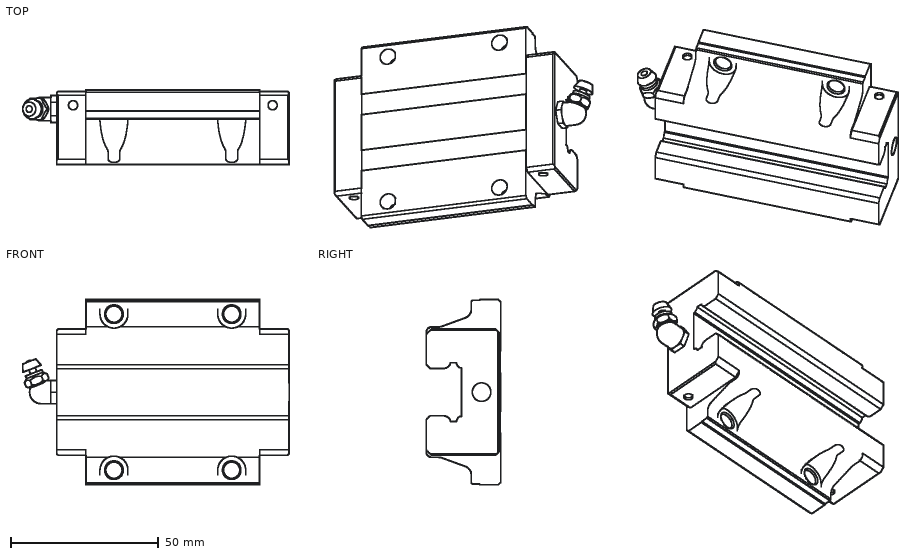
import cadquery as cq
import math


block_length = 59.0
cap_length = 10.0
height = 25.4
flange_width = 63.0
end_x = block_length / 2 + cap_length

flange_thickness = 10.1
flange_band = 7.05
relief_start = 7.35
flange_edge_relief = 0.27
flange_top_chamfer = 0.9
flange_lower_chamfer = 0.45
body_half_width = 22.2
slope_end_depth = 20.5
slope_angle = 20.0
slope_fillet = 3.0
body_corner_fillet = 2.0
relief_inner_z = 6.5
relief_outer_z = 14.0
relief_depth = 0.25

channel_depth = 13.4
channel_floor_half_width = 8.25
channel_mouth_half_width = 8.0
channel_mouth_chamfer = 1.35
ball_groove_half_width = 9.95
ball_groove_start = 15.15
ball_groove_end = 17.2
ball_groove_wall = 9.5
outer_arc_middle_depth = 17.9
outer_arc_middle_z = 8.6
outer_arc_end = 19.3
inner_arc_start = 14.0
inner_arc_middle_depth = 14.75
inner_arc_middle_z = 8.95

hole_pitch_x = 40.0
hole_pitch_z = 53.0
hole_diameter = 5.5
countersink_width = 0.4
countersink_depth = 0.6
clearance_diameter = 9.5

cap_half_width = 21.45
cap_top_depth = 0.55
cap_top_chamfer = 1.3
cap_bottom_chamfer = 1.85
cap_end_chamfer = 0.5
side_hole_diameter = 3.1
side_hole_depth = 1.0
side_hole_from_end = 5.6
side_hole_axis_depth = 5.27
port_depth = 6.56
plug_diameter = 6.3
plug_height = 0.1

base_hex_flats = 8.0
base_hex_thickness = 1.9
elbow_radius = 4.0
elbow_reach = 5.2
nipple_tilt = 21.5
nut_flats = 7.2
nut_start = 3.0
nut_start_radius = 3.7
nut_full_start = 3.6
nut_full_end = 5.0
nut_radius = 4.17
collar_start = 6.1
collar_end = 7.05
collar_radius = 3.0
head_start = 8.53
head_end = 11.2
head_base_radius = 3.37
head_tip_radius = 2.4
neck_radius = 1.2
ball_radius = 1.1
ball_rise = 0.35


def along_x(sketch_points, start, length):
    """Extrude a closed (depth, z) outline along X."""
    points = [(-depth, z) for depth, z in sketch_points]
    return cq.Workplane("YZ").workplane(offset=start).polyline(points).close().extrude(length)


def both_sides(half):
    """Join a shape with its mirror image in Z = 0."""
    return half.union(half.mirror("XY"))


def fillet_long_edge(body, depth, z, radius):
    nearest = cq.selectors.NearestToPointSelector((0, -depth, z))
    return body.edges(nearest).fillet(radius)


def make_block():
    """Flanged steel block without holes or rail channel."""
    half_flange = flange_width / 2
    relieved = half_flange - flange_edge_relief
    slope_rise = (slope_end_depth - flange_thickness) * math.tan(math.radians(slope_angle))
    slope_start_z = body_half_width + slope_rise
    outline = [
        (0, 0),
        (0, relief_inner_z),
        (relief_depth, relief_inner_z),
        (relief_depth, relief_outer_z),
        (0, relief_outer_z),
        (0, half_flange - flange_top_chamfer),
        (flange_top_chamfer, half_flange),
        (flange_band, half_flange),
        (relief_start, relieved),
        (flange_thickness - flange_lower_chamfer, relieved),
        (flange_thickness, relieved - flange_lower_chamfer),
        (flange_thickness, slope_start_z),
        (slope_end_depth, body_half_width),
        (height, body_half_width),
        (height, 0),
    ]
    half = along_x(outline, -block_length / 2, block_length)
    half = fillet_long_edge(half, flange_thickness, slope_start_z, slope_fillet)
    half = fillet_long_edge(half, slope_end_depth, body_half_width, slope_fillet)
    half = fillet_long_edge(half, height, body_half_width, body_corner_fillet)
    return both_sides(half)


def mounting_hole_cutter(x, z):
    """Through hole, countersunk where it opens into a U-shaped clearance below the flange."""
    axis = cq.Workplane("XZ").center(x, z)
    below = axis.workplane(offset=flange_thickness)
    hole = axis.circle(hole_diameter / 2).extrude(flange_thickness)
    countersink_taper = math.degrees(math.atan(countersink_width / countersink_depth))
    countersink = below.circle(hole_diameter / 2 + countersink_width).extrude(
        -countersink_depth, taper=countersink_taper
    )
    clearance = below.circle(clearance_diameter / 2).extrude(height)
    slot_length = flange_width / 2 - hole_pitch_z / 2
    slot_shift = math.copysign(slot_length / 2, z)
    slot = below.center(0, slot_shift).rect(clearance_diameter, slot_length).extrude(height)
    return hole.union(countersink).union(clearance).union(slot)


def cut_mounting_holes(block):
    for x in (-hole_pitch_x / 2, hole_pitch_x / 2):
        for z in (-hole_pitch_z / 2, hole_pitch_z / 2):
            block = block.cut(mounting_hole_cutter(x, z))
    return block


def hexagon(plane, across_flats):
    return plane.polygon(6, across_flats / math.cos(math.pi / 6))


def make_cap():
    """End cap at the +X end, with a blind hole in each side."""
    outline = [
        (cap_top_depth, -cap_half_width + cap_top_chamfer),
        (cap_top_depth, cap_half_width - cap_top_chamfer),
        (cap_top_depth + cap_top_chamfer, cap_half_width),
        (height - cap_bottom_chamfer, cap_half_width),
        (height, cap_half_width - cap_bottom_chamfer),
        (height, -cap_half_width + cap_bottom_chamfer),
        (height - cap_bottom_chamfer, -cap_half_width),
        (cap_top_depth + cap_top_chamfer, -cap_half_width),
    ]
    cap = along_x(outline, block_length / 2, cap_length)
    cap = cap.faces(">X").edges(">Y or >Z or <Z").chamfer(cap_end_chamfer)
    hole = (
        cq.Workplane("XY", origin=(end_x - side_hole_from_end, -side_hole_axis_depth, cap_half_width))
        .circle(side_hole_diameter / 2)
        .extrude(-side_hole_depth)
    )
    return cap.cut(hole).cut(hole.mirror("XY"))


def make_channel():
    """Rail channel cutter with a ball groove in each side wall, as long as the whole body."""
    inner_arc_middle = (-inner_arc_middle_depth, inner_arc_middle_z)
    outer_arc_middle = (-outer_arc_middle_depth, outer_arc_middle_z)
    half = (
        cq.Workplane("YZ")
        .workplane(offset=-end_x)
        .moveTo(-channel_depth, 0)
        .lineTo(-channel_depth, channel_floor_half_width)
        .lineTo(-inner_arc_start, channel_floor_half_width)
        .threePointArc(inner_arc_middle, (-ball_groove_start, ball_groove_half_width))
        .lineTo(-ball_groove_end, ball_groove_half_width)
        .lineTo(-ball_groove_end, ball_groove_wall)
        .threePointArc(outer_arc_middle, (-outer_arc_end, channel_mouth_half_width))
        .lineTo(-height + channel_mouth_chamfer, channel_mouth_half_width)
        .lineTo(-height, channel_mouth_half_width + channel_mouth_chamfer)
        .lineTo(-height, 0)
        .close()
        .extrude(2 * end_x)
    )
    return both_sides(half)


def make_nipple():
    """Angled grease nipple on the -X end cap: hexagon base, round elbow, tilted stem with nut and head."""
    port = cq.Workplane("YZ", origin=(-end_x, -port_depth, 0))
    base = hexagon(port, base_hex_flats).extrude(-base_hex_thickness)
    elbow = (
        cq.Workplane("XY")
        .lineTo(elbow_reach, 0)
        .lineTo(elbow_reach, elbow_radius)
        .lineTo(0, elbow_radius)
        .radiusArc((-elbow_radius, 0), -elbow_radius)
        .close()
        .revolve(360, (0, 0, 0), (1, 0, 0))
    )
    elbow_centre = (-end_x - elbow_reach, -port_depth, 0)

    ball_curvature = (ball_radius**2 + ball_rise**2) / (2 * ball_rise)
    ball_centre = head_end + ball_rise - ball_curvature
    half_angle = math.asin(ball_radius / ball_curvature) / 2
    ball_middle = (ball_curvature * math.sin(half_angle), ball_centre + ball_curvature * math.cos(half_angle))

    envelope = (
        cq.Workplane("XZ")
        .moveTo(0, 0)
        .lineTo(collar_radius, 0)
        .lineTo(collar_radius, nut_start)
        .lineTo(nut_start_radius, nut_start)
        .lineTo(nut_radius, nut_full_start)
        .lineTo(nut_radius, nut_full_end)
        .lineTo(collar_radius, collar_start)
        .lineTo(collar_radius, collar_end)
        .lineTo(neck_radius, collar_end)
        .lineTo(neck_radius, head_start)
        .lineTo(head_base_radius, head_start)
        .lineTo(head_tip_radius, head_end)
        .lineTo(ball_radius, head_end)
        .threePointArc(ball_middle, (0, head_end + ball_rise))
        .close()
        .revolve(360, (0, 0, 0), (0, 1, 0))
    )
    nut = hexagon(cq.Workplane("XY"), nut_flats).extrude(head_end + ball_rise)
    stem = envelope.intersect(nut).rotate((0, 0, 0), (0, 1, 0), -nipple_tilt)
    return base.union(elbow.translate(elbow_centre)).union(stem.translate(elbow_centre))


def make_plug():
    """Low round plug closing the grease port at the +X end."""
    return cq.Workplane("YZ", origin=(end_x, -port_depth, 0)).circle(plug_diameter / 2).extrude(plug_height)


block = cut_mounting_holes(make_block())
cap = make_cap()
carriage = block.union(cap).union(cap.mirror("YZ")).cut(make_channel())
result = carriage.union(make_nipple()).union(make_plug())